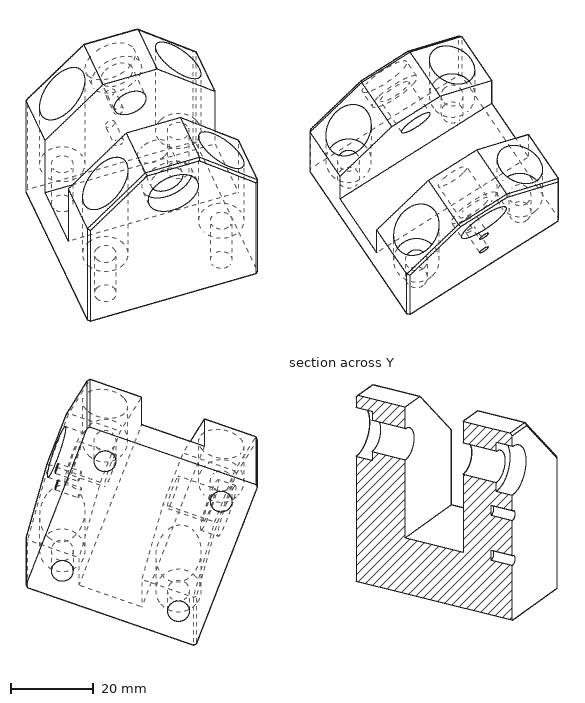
import cadquery as cq

width = 44.0
depth = 44.0
height = 50.0
shoulder_drop = 15.0
edge_chamfer = 0.6

slot_width = 16.2
slot_floor = 15.0

screw_spacing = 30.0
screw_hole_diameter = 5.3
screw_head_diameter = 11.0
screw_seat_height = slot_floor

bore_height = 40.0
bore_diameter = 8.3
bore_recess_diameter = 13.0
bore_recess_depth = 4.5

pin_hole_diameter = 2.5
pin_hole_depth = 6.0
pin_hole_heights = (16.0, 28.0)


def make_block():
    """Block with sloped shoulders and chamfered outer side faces."""
    half_depth = depth / 2
    shoulder_height = height - shoulder_drop
    half_top = half_depth - shoulder_drop
    block = (
        cq.Workplane("YZ")
        .polyline([
            (-half_depth, 0),
            (half_depth, 0),
            (half_depth, shoulder_height),
            (half_top, height),
            (-half_top, height),
            (-half_depth, shoulder_height),
        ])
        .close()
        .extrude(width / 2, both=True)
    )
    return block.faces("<X or >X").edges("not <Z").chamfer(edge_chamfer)


def make_slot():
    """Slot running through the block along Y, open at the top."""
    slot_height = height - slot_floor
    return cq.Workplane("XY", origin=(0, 0, slot_floor)).box(
        slot_width, depth, slot_height, centered=(True, True, False)
    )


def cylinder_along_x(diameter, start_x, length, center_z):
    """Cylinder on the plane Y = 0, running towards +X from start_x."""
    return (
        cq.Workplane("YZ", origin=(start_x, 0, center_z))
        .circle(diameter / 2)
        .extrude(length)
    )


def make_screw_holes():
    """Four through holes with deep seats for the screw heads."""
    pattern = cq.Workplane("XY").rect(screw_spacing, screw_spacing, forConstruction=True).vertices()
    holes = pattern.circle(screw_hole_diameter / 2).extrude(height)
    seats = (
        cq.Workplane("XY", origin=(0, 0, screw_seat_height))
        .rect(screw_spacing, screw_spacing, forConstruction=True)
        .vertices()
        .circle(screw_head_diameter / 2)
        .extrude(height - screw_seat_height)
    )
    return holes.union(seats)


def make_cross_bore():
    """Through bore with a recess in each outer side face."""
    left_face = -width / 2
    right_recess_floor = width / 2 - bore_recess_depth
    bore = cylinder_along_x(bore_diameter, left_face, width, bore_height)
    for start_x in (left_face, right_recess_floor):
        recess = cylinder_along_x(bore_recess_diameter, start_x, bore_recess_depth, bore_height)
        bore = bore.union(recess)
    return bore


result = make_block().cut(make_slot()).cut(make_screw_holes()).cut(make_cross_bore())
for pin_hole_height in pin_hole_heights:
    pin_hole = cylinder_along_x(pin_hole_diameter, -width / 2, pin_hole_depth, pin_hole_height)
    result = result.cut(pin_hole)